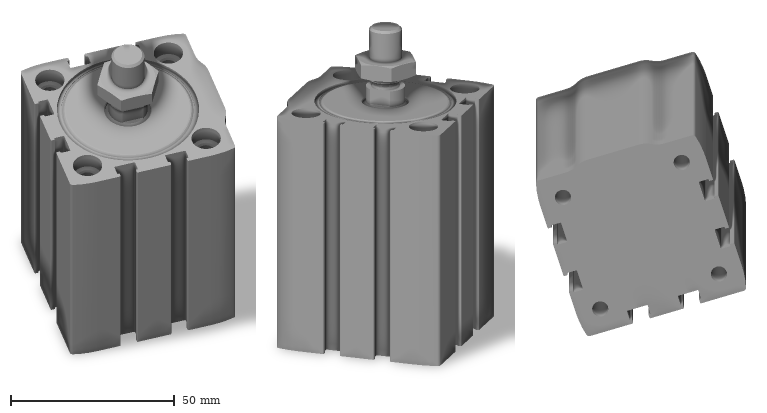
import cadquery as cq
import math

total_height = 98.5
rod_projection = 24.0
housing_height = total_height - rod_projection

housing_width = 53.0
half_width = housing_width / 2
side_flat_half_length = 18.3
side_bow_radius = 30.0
corner_radius = 1.0
hump_height = 2.0
hump_top_half_width = 8.3
hump_foot_half_width = 15.8

slot_pitch = 16.3
slot_mouth_width = 5.2
slot_inner_width = 6.6
slot_depth = 4.4
slot_lip_thickness = 1.3
slot_fillet = 0.3

hole_pitch = 38.0
hole_diameter = 4.9
counterbore_diameter = 9.0
counterbore_depth = 5.0
hole_lead_in_diameter = 6.0

groove_outer_radius = 43.4 / 2
groove_depth = 1.2
floor_top_radius = 20.4
floor_top_depth = 0.3
cover_radius = 40.0 / 2
cover_gap_depth = 0.6
cover_bevel_radius = 19.4
cover_bevel_depth = 0.1
cover_face_radius = 19.0

rod_diameter = 12.0
rod_radius = rod_diameter / 2
rod_insertion = 9.85
wiper_recess_diameter = 14.1
wiper_recess_radius = wiper_recess_diameter / 2
wiper_recess_depth = wiper_recess_radius - rod_radius
wiper_recess_chamfer = 0.3

thread_radius = 10.0 / 2
thread_end_radius = 8.7 / 2
thread_chamfer = thread_radius - thread_end_radius
neck_radius = 8.1 / 2
neck_taper = 0.6
shoulder_height = 5.0
undercut_length = 2.2
wrench_flat_width = 10.0
wrench_flat_base = 0.3

nut_across_flats = 17.0
nut_thickness = 5.0
nut_distance_from_tip = 9.9
nut_face_diameter = 16.7
nut_corner_drop = 0.4


def revolve_profile(points):
    """Revolve a closed (radius, z) outline about the Z axis."""
    return cq.Workplane("XZ").polyline(points).close().revolve(360, (0, 0), (0, 1))


def make_housing_block():
    bow_rise = half_width - side_flat_half_length
    bow_angle = math.asin(bow_rise / side_bow_radius)

    def bow_point(angle):
        return (half_width - side_bow_radius * (1 - math.cos(angle)),
                side_flat_half_length + side_bow_radius * math.sin(angle))

    bow_mid = bow_point(bow_angle / 2)
    corner = bow_point(bow_angle)

    flank_run = hump_foot_half_width - hump_top_half_width
    flank_radius = (flank_run ** 2 + hump_height ** 2) / (4 * hump_height)
    flank_mid = (hump_top_half_width + flank_run / 2, half_width + hump_height / 2)

    block = (
        cq.Workplane("XY")
        .moveTo(-corner[0], -corner[1])
        .lineTo(corner[0], -corner[1])
        .threePointArc((bow_mid[0], -bow_mid[1]), (half_width, -side_flat_half_length))
        .lineTo(half_width, side_flat_half_length)
        .threePointArc(bow_mid, corner)
        .lineTo(hump_foot_half_width, half_width)
        .radiusArc(flank_mid, flank_radius)
        .radiusArc((hump_top_half_width, half_width + hump_height), -flank_radius)
        .lineTo(-hump_top_half_width, half_width + hump_height)
        .radiusArc((-flank_mid[0], flank_mid[1]), -flank_radius)
        .radiusArc((-hump_foot_half_width, half_width), flank_radius)
        .lineTo(-corner[0], corner[1])
        .threePointArc((-bow_mid[0], bow_mid[1]), (-half_width, side_flat_half_length))
        .lineTo(-half_width, -side_flat_half_length)
        .threePointArc((-bow_mid[0], -bow_mid[1]), (-corner[0], -corner[1]))
        .close()
        .extrude(housing_height)
    )
    for x_sign in (-1, 1):
        for y_sign in (-1, 1):
            corner_edge = cq.selectors.NearestToPointSelector(
                (x_sign * corner[0], y_sign * corner[1], housing_height / 2))
            block = block.edges("|Z").edges(corner_edge).fillet(corner_radius)
    return block


def make_slot_cutter(offset):
    """T-slot with rounded corners, cut into the -Y side at the given X offset."""
    mouth = slot_mouth_width / 2
    outside = -half_width
    channel_length = slot_depth - slot_lip_thickness
    channel = (
        cq.Workplane("XY")
        .center(offset, outside + slot_lip_thickness + channel_length / 2)
        .rect(slot_inner_width, channel_length)
        .extrude(housing_height)
        .edges("|Z")
        .fillet(slot_fillet)
    )
    opening = (
        cq.Workplane("XY")
        .center(offset, outside)
        .moveTo(-mouth - slot_fillet, 0)
        .radiusArc((-mouth, slot_fillet), -slot_fillet)
        .lineTo(-mouth, slot_depth / 2)
        .lineTo(mouth, slot_depth / 2)
        .lineTo(mouth, slot_fillet)
        .radiusArc((mouth + slot_fillet, 0), -slot_fillet)
        .close()
        .extrude(housing_height)
    )
    return channel.union(opening)


def cut_slots(block):
    for side_angle in (-90, 0, 90):
        for offset in (-slot_pitch / 2, slot_pitch / 2):
            cutter = make_slot_cutter(offset)
            block = block.cut(cutter.rotate((0, 0, 0), (0, 0, 1), side_angle))
    return block


def cut_mounting_holes(block):
    bore = hole_diameter / 2
    lead_in = hole_lead_in_diameter / 2
    counterbore = counterbore_diameter / 2
    seat = housing_height - counterbore_depth
    cutter = revolve_profile([
        (0, 0),
        (bore, 0),
        (bore, seat - (lead_in - bore)),
        (lead_in, seat),
        (counterbore, seat),
        (counterbore, housing_height),
        (0, housing_height),
    ])
    for x in (-hole_pitch / 2, hole_pitch / 2):
        for y in (-hole_pitch / 2, hole_pitch / 2):
            block = block.cut(cutter.translate((x, y, 0)))
    return block


def cut_cover_groove(block):
    groove = revolve_profile([
        (groove_outer_radius, housing_height),
        (groove_outer_radius, housing_height - groove_depth),
        (floor_top_radius, housing_height - floor_top_depth),
        (floor_top_radius, housing_height - cover_gap_depth),
        (cover_radius, housing_height - cover_gap_depth),
        (cover_bevel_radius, housing_height - cover_bevel_depth),
        (cover_face_radius, housing_height),
    ])
    return block.cut(groove)


def cut_rod_passage(block):
    """Blind rod bore, opening into a recess whose conical floor rises to the rod."""
    passage = revolve_profile([
        (0, housing_height - rod_insertion),
        (rod_radius, housing_height - rod_insertion),
        (rod_radius, housing_height),
        (wiper_recess_radius, housing_height - wiper_recess_depth),
        (wiper_recess_radius, housing_height - wiper_recess_chamfer),
        (wiper_recess_radius + wiper_recess_chamfer, housing_height),
        (0, housing_height),
    ])
    return block.cut(passage)


def make_housing():
    housing = make_housing_block()
    housing = cut_slots(housing)
    housing = cut_mounting_holes(housing)
    housing = cut_cover_groove(housing)
    return cut_rod_passage(housing)


def make_wrench_flat_cutter(shoulder_z):
    """Removes the +X side of the rod; the lower end runs out at 45 degrees."""
    flat_x = wrench_flat_width / 2
    base_z = housing_height + wrench_flat_base
    flat_depth = rod_radius - flat_x
    return (
        cq.Workplane("XZ")
        .polyline([
            (flat_x, shoulder_z),
            (flat_x, base_z),
            (flat_x + flat_depth, base_z - flat_depth),
            (flat_x + flat_depth, shoulder_z),
        ])
        .close()
        .extrude(rod_radius, both=True)
    )


def make_rod():
    shoulder_z = housing_height + shoulder_height
    thread_start_z = shoulder_z + undercut_length
    rod = revolve_profile([
        (0, housing_height - rod_insertion),
        (rod_radius, housing_height - rod_insertion),
        (rod_radius, shoulder_z),
        (thread_end_radius, shoulder_z),
        (neck_radius, shoulder_z + neck_taper),
        (neck_radius, thread_start_z - thread_chamfer - neck_taper),
        (thread_end_radius, thread_start_z - thread_chamfer),
        (thread_radius, thread_start_z),
        (thread_radius, total_height - thread_chamfer),
        (thread_end_radius, total_height),
        (0, total_height),
    ])
    flat_cutter = make_wrench_flat_cutter(shoulder_z)
    for angle in (0, 180):
        rod = rod.cut(flat_cutter.rotate((0, 0, 0), (0, 0, 1), angle))
    return rod


def make_nut():
    corner_radius_of_hex = nut_across_flats / math.sqrt(3)
    top_z = total_height - nut_distance_from_tip
    bottom_z = top_z - nut_thickness
    face_radius = nut_face_diameter / 2
    hexagon = (
        cq.Workplane("XY")
        .workplane(offset=bottom_z)
        .polygon(6, 2 * corner_radius_of_hex)
        .extrude(nut_thickness)
        .rotate((0, 0, 0), (0, 0, 1), 30)
    )
    chamfered_disc = revolve_profile([
        (thread_radius, bottom_z),
        (face_radius, bottom_z),
        (corner_radius_of_hex, bottom_z + nut_corner_drop),
        (corner_radius_of_hex, top_z - nut_corner_drop),
        (face_radius, top_z),
        (thread_radius, top_z),
    ])
    return hexagon.intersect(chamfered_disc)


housing = make_housing()
rod = make_rod()
nut = make_nut()

result = cq.Compound.makeCompound([housing.val(), rod.val(), nut.val()])